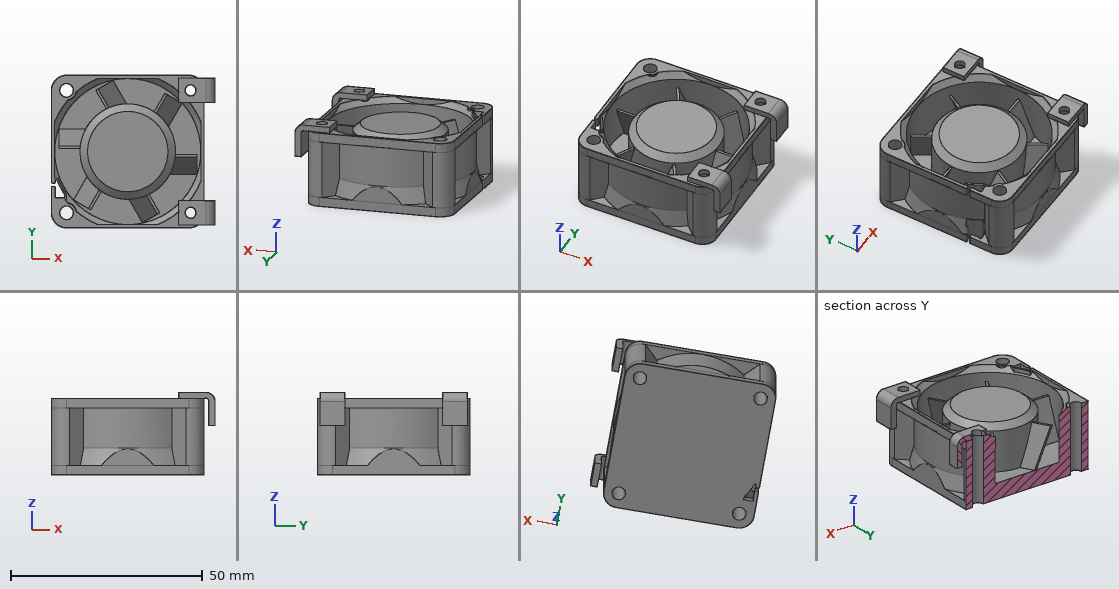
import cadquery as cq
import math

side = 40.0
height = 20.0
half = side / 2
edge_chamfer = 0.1
hole_pitch = 32.0
corner_r = half - hole_pitch / 2
hole_d = 3.5
flange_h = 2.5

bore_d = 38.2
floor_z = 4.93
duct_r = 19.93
skirt_top_z = 7.0
skirt_r = 21.13
web_half_width = 3.35

flare_r = 20.53
rim_bevel = 0.13
flare_depth = 1.6
boss_r = 2.6

pocket_x = -18.95
pocket_r = 19.95
pocket_foot_r = 20.1
pocket_step_z = 3.55
pocket_end_x = -16.5
pocket_top_y = -7.4
pocket_bottom_y = -12.05
pocket_wall = 0.45
slot_y = -8.7
slot_width = 0.8
slot_corner_r = 0.35

hub_d = 25.0
hub_top_d = 21.0
hub_top_z = 18.6
hub_rim_z = 16.9
blade_count = 6
blade_tip = 18.05
blade_top_z = 16.33
blade_offset = 0.75
blade_thickness = 0.7
blade_sweep = 4.5

bracket_width = 6.43
bracket_start_x = 13.33
bracket_end_x = 42.85 - half
bracket_thickness = 1.55
bracket_leg_thickness = 1.7
bracket_bend_r = 2.4
bracket_foot_z = 12.85
bracket_hole_d = 2.83
bracket_hole_x = 16.45


def cylinder(radius, bottom, top):
    return cq.Workplane("XY").workplane(offset=bottom).circle(radius).extrude(top - bottom)


def cone(bottom_r, top_r, bottom, top):
    return cq.Workplane("XY").add(
        cq.Solid.makeCone(bottom_r, top_r, top - bottom, cq.Vector(0, 0, bottom))
    )


def hole_points():
    return cq.Workplane("XY").rect(hole_pitch, hole_pitch, forConstruction=True)


def pocket_outline(duct_side_r, margin):
    """Plan of the cable pocket, grown by a margin on its straight sides."""
    left = pocket_x - margin
    right = pocket_end_x + margin
    top = pocket_top_y + margin
    bottom = pocket_bottom_y - margin
    angle_top = math.asin(top / duct_side_r)
    angle_end = -math.acos(-right / duct_side_r)
    angle_mid = (angle_top + angle_end) / 2
    return (
        cq.Workplane("XY")
        .moveTo(left, top)
        .lineTo(-duct_side_r * math.cos(angle_top), top)
        .threePointArc(
            (-duct_side_r * math.cos(angle_mid), duct_side_r * math.sin(angle_mid)),
            (right, duct_side_r * math.sin(angle_end)),
        )
        .lineTo(right, bottom)
        .lineTo(left, bottom)
        .close()
    )


def corner_web():
    """Web along +X whose rounded outer end is concentric with the mounting hole."""
    hole_distance = hole_pitch / math.sqrt(2)
    arc_start = hole_distance + math.sqrt(corner_r**2 - web_half_width**2)
    return (
        cq.Workplane("XY")
        .workplane(offset=flange_h)
        .moveTo(0, -web_half_width)
        .lineTo(arc_start, -web_half_width)
        .threePointArc((hole_distance + corner_r, 0), (arc_start, web_half_width))
        .lineTo(0, web_half_width)
        .close()
        .extrude(height - 2 * flange_h)
    )


def flange(bottom, bevelled_face):
    plate = cq.Workplane("XY").workplane(offset=bottom).rect(side, side).extrude(flange_h)
    plate = plate.edges("|Z").fillet(corner_r)
    return plate.faces(bevelled_face).edges().chamfer(edge_chamfer)


def frame():
    """Two flanges joined by the solid duct, its skirt and the corner webs."""
    upper_z = height - flange_h
    skirt = cone(skirt_r, duct_r, flange_h, skirt_top_z)
    skirt = skirt.intersect(cq.Workplane("XY").rect(side, side).extrude(height))
    core = cylinder(duct_r, flange_h, upper_z).union(skirt)
    for angle in (45, 135, 225, 315):
        core = core.union(corner_web().rotate((0, 0, 0), (0, 0, 1), angle))
    return core.union(flange(0, "<Z")).union(flange(upper_z, ">Z"))


def inlet_flare():
    rim_z = height - rim_bevel
    flare = cone(bore_d / 2, flare_r, height - flare_depth, rim_z)
    flare = flare.union(cone(flare_r, flare_r + rim_bevel, rim_z, height))
    flare = flare.intersect(cq.Workplane("XY").rect(bore_d, bore_d).extrude(height))
    boss = cylinder(boss_r, 0, rim_z).union(cone(boss_r, boss_r - rim_bevel, rim_z, height))
    for point in hole_points().vertices().vals():
        flare = flare.cut(boss.translate(point.Center()))
    return flare.cut(pocket_outline(pocket_r - pocket_wall, pocket_wall).extrude(height))


def cable_slot():
    """Slot through the outer wall, with rounded corners at both ends."""
    r = slot_corner_r
    low = slot_y - slot_width / 2
    high = slot_y + slot_width / 2
    return (
        cq.Workplane("XY")
        .moveTo(-half, low - r)
        .radiusArc((-half + r, low), r)
        .lineTo(pocket_x - r, low)
        .radiusArc((pocket_x, low - r), r)
        .lineTo(pocket_x, high + r)
        .radiusArc((pocket_x - r, high), r)
        .lineTo(-half + r, high)
        .radiusArc((-half, high + r), r)
        .close()
        .extrude(height)
    )


def cable_pocket():
    foot = pocket_outline(pocket_foot_r, 0).extrude(pocket_step_z)
    return pocket_outline(pocket_r, 0).extrude(height).union(foot)


def make_housing():
    body = frame()
    body = body.cut(cylinder(bore_d / 2, floor_z, height))
    body = body.cut(inlet_flare())
    body = body.cut(hole_points().vertices().circle(hole_d / 2).extrude(height))
    return body.cut(cable_pocket()).cut(cable_slot())


def make_impeller():
    impeller = cylinder(hub_d / 2, floor_z, hub_rim_z)
    impeller = impeller.union(cone(hub_d / 2, hub_top_d / 2, hub_rim_z, hub_top_z))
    blade = (
        cq.Workplane("YZ")
        .polyline([
            (-blade_offset, blade_top_z),
            (-blade_offset - blade_thickness, blade_top_z),
            (-blade_offset - blade_sweep - blade_thickness, floor_z),
            (-blade_offset - blade_sweep, floor_z),
        ])
        .close()
        .extrude(blade_tip)
    )
    for i in range(blade_count):
        impeller = impeller.union(blade.rotate((0, 0, 0), (0, 0, 1), i * 360 / blade_count))
    return impeller


def make_bracket(centre_y):
    """Clip lying on the top flange and bent down outside the +X wall."""
    top = height + bracket_thickness
    inner_x = bracket_end_x - bracket_leg_thickness
    inner_r = bracket_bend_r - bracket_leg_thickness
    bracket = (
        cq.Workplane("XZ", origin=(0, centre_y + bracket_width / 2, 0))
        .moveTo(bracket_start_x, height)
        .lineTo(bracket_start_x, top)
        .lineTo(bracket_end_x - bracket_bend_r, top)
        .radiusArc((bracket_end_x, top - bracket_bend_r), bracket_bend_r)
        .lineTo(bracket_end_x, bracket_foot_z)
        .lineTo(inner_x, bracket_foot_z)
        .lineTo(inner_x, height - inner_r)
        .radiusArc((inner_x - inner_r, height), -inner_r)
        .close()
        .extrude(bracket_width)
    )
    hole = cylinder(bracket_hole_d / 2, height, top).translate((bracket_hole_x, centre_y, 0))
    return bracket.cut(hole)


housing = make_housing()
impeller = make_impeller()
brackets = [make_bracket(y) for y in (-hole_pitch / 2, hole_pitch / 2)]

result = cq.Compound.makeCompound(
    [housing.val(), impeller.val(), *[bracket.val() for bracket in brackets]]
)